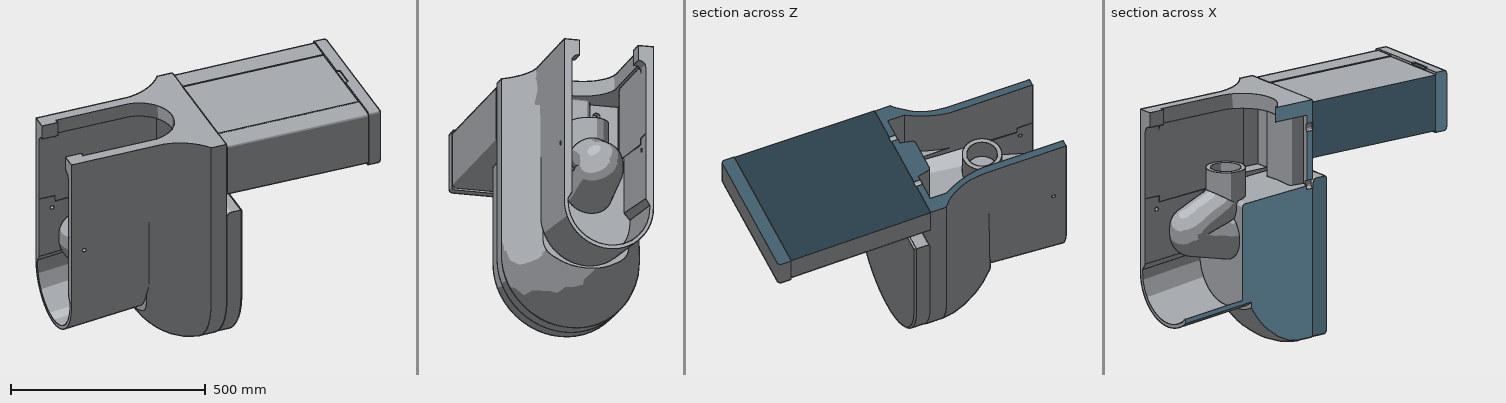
import cadquery as cq
import math


select_margin = 1.0

rim_half_width = 182.0
rim_center_z = -474.0
rim_y = 407.0
rim_base_y = 362.0
rim_fillet = 5.0

pedestal_half_width = 119.0
pedestal_arc_z = -437.0
pedestal_slope = 0.094
pedestal_joint_y = 210.0
pedestal_top_y = 350.0

blend_sections = 6
blend_side_depth = 213.0
blend_front_depth = 170.0
blend_power = 1.75
waist_y = 238.5
waist_inset = 1.0

back_plate = 40.0
slot_half_width = 90.0
slot_center_y = 238.0
lug_half_width = 78.0
lug_depth = 44.0
cavity_half_width = 98.0
cavity_draft = 5.0
cavity_corner = 18.0
cavity_back_y = 182.0
lip_top_z = -412.0
lip_step = 17.5
lip_radius = 109.0

chamber_back_y = 388.0
shelf_rear_z = -223.5
shelf_front_z = -236.0
shelf_sag = 8.0
shelf_edge_fillet = 10.0
flare_start_y = 233.5
flare_half_width = 138.0
flare_y = 342.0

duct_face_y = 350.0
duct_root_half_width = 60.0
duct_half_width = 52.0
duct_fillet = 10.0
duct_top_fillet = 6.0
duct_bottom_z = -238.0

bolt_width = 18.0
bolt_height = 23.0
cistern_bolt_x = 80.0
cistern_bolt_z = -72.5
seat_bolt_x = 75.0
seat_bolt_z = -227.0
side_hole_radius = 5.0
side_hole_y = 36.0
side_hole_z = -270.0

outlet_radius = 51.0
outlet_bore_radius = 39.0
outlet_y = 184.0
outlet_top_z = -160.0
outlet_bore_depth = 58.0
elbow_z = -248.5
trap_radius = 57.5
trap_bend_y = 77.0
trap_bend_z = -303.5
trap_turn_z = -320.0
trap_inlet_radius = 64.0
trap_inlet_y = cavity_back_y + 8.0
trap_inlet_z = -342.0

seat_gap = 2.0
seat_half_width = rim_half_width - seat_gap
seat_top_y = 450.0
seat_rear_z = -213.0
seat_edge_chamfer = 5.0
hinge_fillet = 12.5

lid_width = 373.0
lid_depth = 163.0
lid_top_y = 834.0
lid_bottom_y = 798.0
lid_fillet = 10.0
cistern_top_half_width = 185.0
cistern_bottom_half_width = 183.0
cistern_rear_z = -4.0
cistern_front_z = -158.0
cistern_fillet = 11.0
panel_half_width = pedestal_half_width
panel_recess = 2.5
notch_half_width = 31.0
notch_height = 8.0
notch_depth = 3.0
notch_taper = 4.0


def xz_plane(y):
    """Plane at height y, with local x along X and local y along Z."""
    return cq.Workplane("XZ", origin=(0, y, 0))


def xz_box(half_width, y0, y1, z0, z1):
    """Box centred on X between two heights and two Z levels."""
    box = cq.Workplane("XY").box(2 * half_width, y1 - y0, z1 - z0, centered=(True, False, False))
    return box.translate((0, y0, z0))


def edges_near_line(half_width, y, z_low, z_high):
    """Selector for edges along X that lie at height y between two Z levels."""
    return cq.selectors.BoxSelector(
        (-half_width, y - select_margin, z_low - select_margin),
        (half_width, y + select_margin, z_high + select_margin),
    )


def u_wire(sketch, half_width, rear_z, arc_z):
    """U outline: straight rear edge, parallel sides and a semicircular front."""
    return (
        sketch.moveTo(-half_width, rear_z)
        .lineTo(half_width, rear_z)
        .lineTo(half_width, arc_z)
        .threePointArc((0, arc_z - half_width), (-half_width, arc_z))
        .close()
    )


def u_prism(half_width, rear_z, arc_z, y0, y1):
    return u_wire(xz_plane(y0), half_width, rear_z, arc_z).extrude(y0 - y1)


def loft_between(outline, y0, y1):
    """Straight loft of outline(sketch, y) from height y0 to height y1."""
    lower = outline(xz_plane(y0), y0)
    return outline(lower.workplane(offset=y0 - y1), y1).loft(ruled=True, combine=True)


def pedestal_outline(sketch, y):
    return u_wire(sketch, pedestal_half_width, 0, pedestal_arc_z + pedestal_slope * y)


def dome_half_width(drop, depth):
    """Superelliptic half width of the bowl at a distance below its rim."""
    return rim_half_width * (1 - (drop / depth) ** blend_power) ** (1 / blend_power)


def make_blend():
    """Bowl underside: concave at the back plane, swelling into a dome at the front."""
    waist_rise = rim_base_y - waist_y
    waist_width = rim_half_width - pedestal_half_width
    waist_radius = (waist_rise**2 + waist_width**2) / (2 * waist_width)
    corner = math.sqrt(0.5)
    wires = []
    for i in range(blend_sections):
        y = rim_base_y + (pedestal_joint_y - rim_base_y) * i / (blend_sections - 1)
        rise = max(y - waist_y, 0)
        rear = pedestal_half_width + waist_radius - math.sqrt(waist_radius**2 - rise**2) - waist_inset
        drop = rim_base_y - y
        side = dome_half_width(drop, blend_side_depth)
        front = dome_half_width(drop, blend_front_depth)
        section = (
            xz_plane(y)
            .moveTo(-rear, 0)
            .lineTo(rear, 0)
            .spline([(side, rim_center_z)], tangents=[(0, -1), (0, -1)], includeCurrent=True)
            .spline(
                [(side * corner, rim_center_z - front * corner), (0, rim_center_z - front)],
                tangents=[(0, -1), (-1, 0)],
                includeCurrent=True,
            )
            .spline(
                [(-side * corner, rim_center_z - front * corner), (-side, rim_center_z)],
                tangents=[(-1, 0), (0, 1)],
                includeCurrent=True,
            )
            .spline([(-rear, 0)], tangents=[(0, 1), (0, 1)], includeCurrent=True)
            .close()
        )
        wires.append(section.val())
    return cq.Workplane(cq.Solid.makeLoft(wires))


def lower_cavity_outline(sketch, y):
    """Hollow of the pedestal: drafted side walls that step out to a thin round front wall."""
    half = cavity_half_width - cavity_draft * y / cavity_back_y
    shift = pedestal_slope * y
    arc_z = pedestal_arc_z + shift
    return (
        sketch.moveTo(-half, shelf_front_z)
        .lineTo(half, shelf_front_z)
        .lineTo(half, lip_top_z + shift)
        .lineTo(lip_radius, lip_top_z - lip_step + shift)
        .lineTo(lip_radius, arc_z)
        .threePointArc((0, arc_z - lip_radius), (-lip_radius, arc_z))
        .lineTo(-lip_radius, lip_top_z - lip_step + shift)
        .lineTo(-half, lip_top_z + shift)
        .close()
    )


def chamber_outline(sketch, y):
    """Upper chamber above the arched, sloping back of the bowl basin."""
    shelf_slope = (shelf_rear_z - shelf_front_z) / (chamber_back_y - cavity_back_y)
    crown_z = shelf_front_z + shelf_slope * (y - cavity_back_y)
    side_z = crown_z - shelf_sag
    return (
        sketch.moveTo(-cavity_half_width, -back_plate)
        .lineTo(cavity_half_width, -back_plate)
        .lineTo(cavity_half_width, side_z)
        .threePointArc((0, crown_z), (-cavity_half_width, side_z))
        .close()
    )


def make_flare():
    """Widening of the chamber towards the rim."""
    bend = ((2 * cavity_half_width + flare_half_width) / 3, (flare_start_y + flare_y) / 2)
    return (
        cq.Workplane("XY", origin=(0, 0, shelf_rear_z))
        .moveTo(-cavity_half_width, flare_start_y)
        .lineTo(cavity_half_width, flare_start_y)
        .threePointArc(bend, (flare_half_width, flare_y))
        .lineTo(flare_half_width, chamber_back_y)
        .lineTo(-flare_half_width, chamber_back_y)
        .lineTo(-flare_half_width, flare_y)
        .threePointArc((-bend[0], bend[1]), (-cavity_half_width, flare_start_y))
        .close()
        .extrude(-back_plate - shelf_rear_z)
    )


def make_slot():
    """Opening through the back plate, narrowed by two lugs at the foot."""
    opening = (
        cq.Workplane("XY")
        .moveTo(-slot_half_width, lug_depth)
        .lineTo(slot_half_width, lug_depth)
        .lineTo(slot_half_width, slot_center_y)
        .threePointArc((0, slot_center_y + slot_half_width), (-slot_half_width, slot_center_y))
        .close()
        .extrude(-back_plate)
    )
    return opening.union(xz_box(lug_half_width, 0, lug_depth, -back_plate, 0))


def make_duct():
    """Raised flushing duct with drafted sides and rounded front edges."""
    return (
        cq.Workplane("XY", origin=(0, 0, duct_bottom_z))
        .polyline(
            [
                (-duct_root_half_width, chamber_back_y),
                (-duct_half_width, duct_face_y),
                (duct_half_width, duct_face_y),
                (duct_root_half_width, chamber_back_y),
            ]
        )
        .close()
        .extrude(-back_plate - duct_bottom_z)
        .edges("|Z and <Y")
        .fillet(duct_fillet)
    )


def make_bolt_holes():
    bolts = [(cistern_bolt_x, cistern_bolt_z), (seat_bolt_x, seat_bolt_z)]
    points = [(side * x, z) for x, z in bolts for side in (-1, 1)]
    outlines = xz_plane(chamber_back_y).pushPoints(points).slot2D(bolt_height, bolt_width, 90)
    return outlines.extrude(chamber_back_y - rim_y)


def tapered_limb(start, end, start_radius, end_radius):
    """Round limb in the plane x = 0 between two (y, z) points."""
    dy = end[0] - start[0]
    dz = end[1] - start[1]
    base = cq.Vector(0, start[0], start[1])
    cone = cq.Solid.makeCone(start_radius, end_radius, math.hypot(dy, dz), base, cq.Vector(0, dy, dz))
    return cq.Workplane(cone)


def make_trap():
    """Trap bend: one limb leaves the basin, one returns to the outlet pipe that points backwards."""
    upper_bend = cq.Workplane("XY", origin=(0, trap_bend_y, trap_bend_z)).sphere(trap_radius)
    turn = (
        cq.Workplane("XY", origin=(0, trap_bend_y, trap_turn_z))
        .circle(trap_radius)
        .extrude(trap_bend_z - trap_turn_z)
    )
    lower_bend = cq.Workplane("XY", origin=(0, trap_bend_y, trap_turn_z)).sphere(trap_radius)
    inlet = tapered_limb(
        (trap_bend_y, trap_turn_z), (trap_inlet_y, trap_inlet_z), trap_radius, trap_inlet_radius
    )
    riser = tapered_limb((trap_bend_y, trap_bend_z), (outlet_y, elbow_z), trap_radius, outlet_radius)
    elbow = cq.Workplane("XY", origin=(0, outlet_y, elbow_z)).sphere(outlet_radius)
    pipe = (
        cq.Workplane("XY", origin=(0, outlet_y, outlet_top_z))
        .circle(outlet_radius)
        .extrude(elbow_z - outlet_top_z)
    )
    return inlet.union(lower_bend).union(turn).union(upper_bend).union(riser).union(elbow).union(pipe)


def make_bowl():
    rim = u_prism(rim_half_width, 0, rim_center_z, rim_base_y, rim_y).faces(">Y").edges().fillet(rim_fillet)
    pedestal = loft_between(pedestal_outline, 0, pedestal_top_y)
    bowl = rim.union(make_blend()).union(pedestal)

    lower_cavity = loft_between(lower_cavity_outline, 0, cavity_back_y)
    chamber = loft_between(chamber_outline, lug_depth, chamber_back_y)
    mouth = xz_box(cavity_half_width, 0, lug_depth, shelf_front_z, -back_plate)
    mouth = mouth.edges("|Y and >Z").fillet(cavity_corner)
    bowl = bowl.cut(lower_cavity).cut(chamber).cut(mouth).cut(make_flare()).cut(make_slot())
    shelf_edge = edges_near_line(cavity_half_width, cavity_back_y, shelf_front_z - shelf_sag, shelf_front_z)
    bowl = bowl.edges(shelf_edge).edges("not |Z").fillet(shelf_edge_fillet)

    bore = (
        cq.Workplane("XY", origin=(0, outlet_y, outlet_top_z))
        .circle(outlet_bore_radius)
        .extrude(-outlet_bore_depth)
    )
    side_holes = (
        cq.Workplane("YZ")
        .center(side_hole_y, side_hole_z)
        .circle(side_hole_radius)
        .extrude(pedestal_half_width, both=True)
    )
    duct_top_edge = edges_near_line(duct_half_width, duct_face_y, -back_plate, -back_plate)
    bowl = bowl.union(make_duct())
    bowl = bowl.edges(duct_top_edge).fillet(duct_top_fillet)
    bowl = bowl.cut(make_bolt_holes()).cut(side_holes)
    return bowl.union(make_trap()).cut(bore)


def make_seat():
    """Closed seat on the rim, rounded underneath at its hinge edge."""
    seat = u_prism(seat_half_width, seat_rear_z, rim_center_z, rim_y, seat_top_y)
    seat = seat.faces(">Y").edges().chamfer(seat_edge_chamfer)
    return seat.faces("<Y").edges(">Z").fillet(hinge_fillet)


def cistern_outline(sketch, half_width):
    return (
        sketch.moveTo(-half_width, cistern_rear_z)
        .lineTo(half_width, cistern_rear_z)
        .lineTo(half_width, cistern_front_z)
        .lineTo(-half_width, cistern_front_z)
        .close()
    )


def make_cistern():
    """Slightly tapered tank with a shallow panel recessed in its back."""
    lower = cistern_outline(xz_plane(rim_y), cistern_bottom_half_width)
    upper = lower.workplane(offset=rim_y - lid_bottom_y)
    tank = cistern_outline(upper, cistern_top_half_width).loft(ruled=True)
    tank = tank.edges("not(|X or |Z)").fillet(cistern_fillet)
    panel = xz_box(panel_half_width, rim_y, lid_bottom_y, cistern_rear_z - panel_recess, cistern_rear_z)
    return tank.cut(panel)


def make_lid():
    """Cistern lid with rounded edges and a finger notch in its back lower edge."""
    lid = xz_box(lid_width / 2, lid_bottom_y, lid_top_y, -lid_depth, 0)
    lid = lid.edges("|Y").fillet(lid_fillet).faces(">Y").edges().fillet(lid_fillet)
    notch = (
        cq.Workplane("XY")
        .polyline(
            [
                (-notch_half_width, lid_bottom_y),
                (notch_half_width, lid_bottom_y),
                (notch_half_width - notch_taper, lid_bottom_y + notch_height),
                (notch_taper - notch_half_width, lid_bottom_y + notch_height),
            ]
        )
        .close()
        .extrude(-notch_depth)
    )
    return lid.cut(notch)


bowl = make_bowl()
seat = make_seat()
cistern = make_cistern()
lid = make_lid()

result = cq.Compound.makeCompound([bowl.val(), seat.val(), cistern.val(), lid.val()])